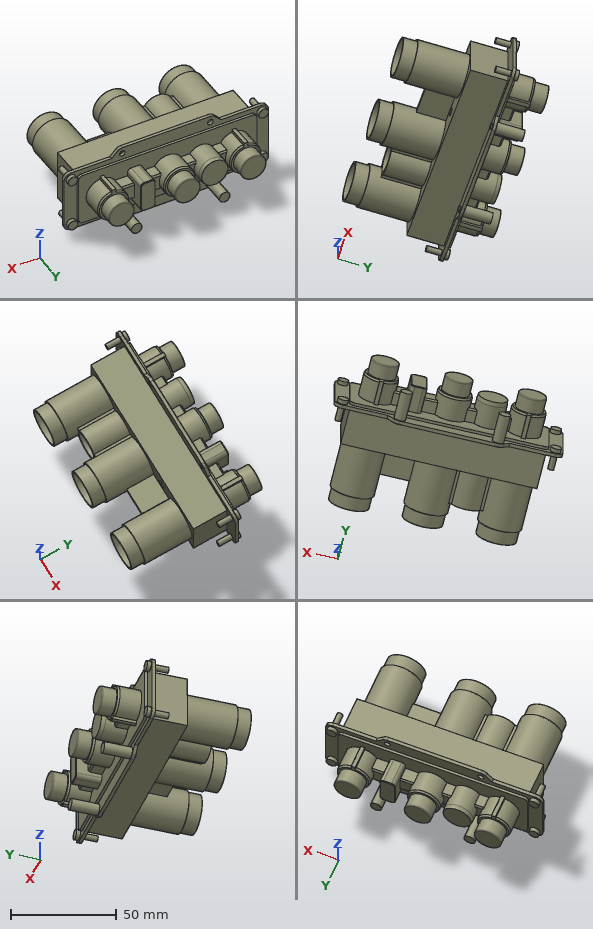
import cadquery as cq
import math


FLANGE_LENGTH = 111.5
FLANGE_HEIGHT = 34.3
FLANGE_THICKNESS = 1.75
FLANGE_CORNER_RADIUS = 3.75
EAR_HEIGHT = 43.0
EAR_RADIUS = 3.5
EAR_SLOPE_DEGREES = 45.0
EAR_HOLE_X = 24.0
EAR_HOLE_Z = EAR_HEIGHT / 2 - EAR_RADIUS
EAR_HOLE_DIAMETER = 3.0
GASKET_LENGTH = 97.2
GASKET_HEIGHT = 28.8
GASKET_THICKNESS = 1.4
GASKET_CORNER_RADIUS = 2.2

BODY_LENGTH = 95.9
BODY_HEIGHT = 27.4
BODY_DEPTH = 18.6
PITCH = 18.0

POWER_X = (-2 * PITCH, 0.0, 2 * PITCH)
KEYED_POWER_X = (-2 * PITCH, 2 * PITCH)
SOCKET_DIAMETER = 21.6
SOCKET_LENGTH = 25.9
COLLAR_DIAMETER = 19.9
COLLAR_LENGTH = 6.9
SOCKET_BORE = 17.9
SLEEVE_DIAMETER = 17.0
SLEEVE_END_Y = 15.1
SLEEVE_CHAMFER_LENGTH = 1.1
SLEEVE_CHAMFER_DEPTH = 0.45
CONTACT_DIAMETER = 13.75
CONTACT_FILLET = 0.4
CONTACT_BORE = 10.2
CONTACT_WALL = 2.0
KEY_WIDTH = 2.1
KEY_SPAN = 20.1

NEUTRAL_X = -PITCH
NEUTRAL_SOCKET_DIAMETER = 17.0
NEUTRAL_SOCKET_LENGTH = 20.0
NEUTRAL_BRIDGE_HEIGHT = 9.8
NEUTRAL_SOCKET_BORE = 13.8
NEUTRAL_SLEEVE_DIAMETER = 15.0
NEUTRAL_TAPER_LENGTH = 2.1
NEUTRAL_TAPER_DEPTH = 0.35
NEUTRAL_BORE = 8.1

PILOT_X = PITCH
PILOT_WIDTH = 8.0
PILOT_HEIGHT = 17.0
PILOT_RADIUS = 2.0
PILOT_END_Y = 16.2
PILOT_CHAMFER = 0.4
PILOT_HOLE_DIAMETER = 4.1
PILOT_HOLE_Z = 4.5
FRONT_WEB_THICKNESS = 2.1
FRONT_WEB_LENGTH = 14.8

REAR_WEB_HEIGHT = 9.0
REAR_WEB_CHAMFER = 0.8

SCREW_X = FLANGE_LENGTH / 2 - FLANGE_CORNER_RADIUS
SCREW_Z = 13.45
SCREW_DIAMETER = 3.0
SCREW_LENGTH = 7.5
SCREW_HEAD_DIAMETER = 5.2
SCREW_HEAD_HEIGHT = 2.0
STANDOFF_DIAMETER = 5.7
STANDOFF_PIN_DIAMETER = EAR_HOLE_DIAMETER
STANDOFF_PIN_BORE = 2.2
STANDOFF_PIN_LENGTH = 0.75

BODY_FRONT_Y = -BODY_DEPTH
SOCKET_FRONT_Y = BODY_FRONT_Y - SOCKET_LENGTH
COLLAR_FRONT_Y = SOCKET_FRONT_Y - COLLAR_LENGTH
NEUTRAL_FRONT_Y = BODY_FRONT_Y - NEUTRAL_SOCKET_LENGTH
GASKET_REAR_Y = FLANGE_THICKNESS + GASKET_THICKNESS
CONTACT_END_Y = 22.4
NEUTRAL_END_Y = 16.7
STANDOFF_END_Y = 15.7
REAR_WEB_END_Y = 10.0


def cylinder(x, z, diameter, y_front, y_rear):
    """Cylinder along Y between two Y positions."""
    return cq.Workplane("XZ", origin=(x, y_rear, z)).circle(diameter / 2).extrude(y_rear - y_front)


def block(x, z, width, height, y_front, y_rear):
    """Rectangular block centred on (x, z) between two Y positions."""
    return cq.Workplane("XZ", origin=(x, y_rear, z)).rect(width, height).extrude(y_rear - y_front)


def make_flange():
    """Rounded plate with two trapezoidal ears, plus the gasket on its rear face."""
    plate = block(0, 0, FLANGE_LENGTH, FLANGE_HEIGHT, 0, FLANGE_THICKNESS)
    plate = plate.edges("|Y").fillet(FLANGE_CORNER_RADIUS)

    tip_x = EAR_HOLE_X + EAR_RADIUS * math.tan(math.radians(EAR_SLOPE_DEGREES / 2))
    tip_z = EAR_HEIGHT / 2
    root_x = tip_x + tip_z / math.tan(math.radians(EAR_SLOPE_DEGREES))
    upper_ear = [(-root_x, 0), (-tip_x, tip_z), (tip_x, tip_z)]
    lower_ear = [(-x, -z) for x, z in upper_ear]
    ears = cq.Workplane("XZ", origin=(0, FLANGE_THICKNESS, 0)).polyline(upper_ear + lower_ear).close()
    ears = ears.extrude(FLANGE_THICKNESS)
    ears = ears.edges("|Y").edges(">Z or <Z").fillet(EAR_RADIUS)

    gasket = block(0, 0, GASKET_LENGTH, GASKET_HEIGHT, FLANGE_THICKNESS, GASKET_REAR_Y)
    gasket = gasket.edges("|Y").fillet(GASKET_CORNER_RADIUS)

    flange = plate.union(ears).union(gasket)
    for x in (-EAR_HOLE_X, EAR_HOLE_X):
        flange = flange.cut(cylinder(x, EAR_HOLE_Z, EAR_HOLE_DIAMETER, 0, FLANGE_THICKNESS))
    return flange


def make_power_contact(x):
    """Front cable socket with its end collar, rear sleeve and protruding contact tube."""
    socket = cylinder(x, 0, SOCKET_DIAMETER, SOCKET_FRONT_Y, 0)
    collar = cylinder(x, 0, COLLAR_DIAMETER, COLLAR_FRONT_Y, 0)
    sleeve = cylinder(x, 0, SLEEVE_DIAMETER, 0, SLEEVE_END_Y)
    sleeve = sleeve.faces(">Y").chamfer(SLEEVE_CHAMFER_LENGTH, SLEEVE_CHAMFER_DEPTH)
    contact = cylinder(x, 0, CONTACT_DIAMETER, 0, CONTACT_END_Y)
    contact = contact.faces(">Y").edges().fillet(CONTACT_FILLET)
    return socket.union(collar).union(sleeve).union(contact)


def make_power_bore(x):
    """Wide cable bore followed by the narrower blind contact bore."""
    cable_bore = cylinder(x, 0, SOCKET_BORE, COLLAR_FRONT_Y, 0)
    contact_bore = cylinder(x, 0, CONTACT_BORE, COLLAR_FRONT_Y, CONTACT_END_Y - CONTACT_WALL)
    return cable_bore.union(contact_bore)


def make_keys(x):
    """Pair of coding ribs above and below a rear sleeve."""
    return block(x, 0, KEY_WIDTH, KEY_SPAN, 0, SLEEVE_END_Y)


def make_neutral_contact():
    """Front socket bridged to both neighbouring sockets, and the tapered rear sleeve."""
    socket = cylinder(NEUTRAL_X, 0, NEUTRAL_SOCKET_DIAMETER, NEUTRAL_FRONT_Y, 0)
    bridge = block(NEUTRAL_X, 0, PITCH, NEUTRAL_BRIDGE_HEIGHT, NEUTRAL_FRONT_Y, 0)
    sleeve = cylinder(NEUTRAL_X, 0, NEUTRAL_SLEEVE_DIAMETER, 0, NEUTRAL_END_Y)
    sleeve = sleeve.faces(">Y").chamfer(NEUTRAL_TAPER_LENGTH, NEUTRAL_TAPER_DEPTH)
    return socket.union(bridge).union(sleeve)


def make_neutral_bore():
    """Wide cable bore followed by the narrower blind contact bore."""
    cable_bore = cylinder(NEUTRAL_X, 0, NEUTRAL_SOCKET_BORE, NEUTRAL_FRONT_Y, 0)
    contact_bore = cylinder(NEUTRAL_X, 0, NEUTRAL_BORE, NEUTRAL_FRONT_Y, NEUTRAL_END_Y - CONTACT_WALL)
    return cable_bore.union(contact_bore)


def make_pilot_block():
    """Rounded rear block for the two pilot contacts, and the thin web at the front."""
    pilot = block(PILOT_X, 0, PILOT_WIDTH, PILOT_HEIGHT, 0, PILOT_END_Y)
    pilot = pilot.edges("|Y").fillet(PILOT_RADIUS)
    pilot = pilot.faces(">Y").edges().chamfer(PILOT_CHAMFER)
    web = block(PILOT_X, 0, PITCH, FRONT_WEB_THICKNESS, BODY_FRONT_Y - FRONT_WEB_LENGTH, 0)
    return pilot.union(web)


def make_pilot_hole(z):
    """Blind pilot contact hole entered from the front of the housing block."""
    return cylinder(PILOT_X, z, PILOT_HOLE_DIAMETER, BODY_FRONT_Y, PILOT_END_Y - CONTACT_WALL)


def make_rear_web():
    """Chamfered web running behind the gasket from the left to the right power sleeve."""
    web = block(0, 0, POWER_X[-1] - POWER_X[0], REAR_WEB_HEIGHT, 0, REAR_WEB_END_Y)
    return web.faces(">Y").edges("|X").chamfer(REAR_WEB_CHAMFER)


def make_screw(x, z):
    """Flange screw with its head on the rear face."""
    shank = cylinder(x, z, SCREW_DIAMETER, -SCREW_LENGTH, FLANGE_THICKNESS)
    head = cylinder(x, z, SCREW_HEAD_DIAMETER, FLANGE_THICKNESS, FLANGE_THICKNESS + SCREW_HEAD_HEIGHT)
    return shank.union(head)


def make_standoff(x):
    """Rear standoff with a hollow pin that passes through the lower ear."""
    post = cylinder(x, -EAR_HOLE_Z, STANDOFF_DIAMETER, FLANGE_THICKNESS, STANDOFF_END_Y)
    pin = cylinder(x, -EAR_HOLE_Z, STANDOFF_PIN_DIAMETER, -STANDOFF_PIN_LENGTH, FLANGE_THICKNESS)
    return post.union(pin)


def make_standoff_bore(x):
    """Blind bore in the standoff pin."""
    return cylinder(x, -EAR_HOLE_Z, STANDOFF_PIN_BORE, -STANDOFF_PIN_LENGTH, FLANGE_THICKNESS)


body = block(0, 0, BODY_LENGTH, BODY_HEIGHT, BODY_FRONT_Y, 0)
result = make_flange().union(body).union(make_rear_web())
for power_x in POWER_X:
    result = result.union(make_power_contact(power_x))
for power_x in KEYED_POWER_X:
    result = result.union(make_keys(power_x))
result = result.union(make_neutral_contact()).union(make_pilot_block())
for screw_x in (-SCREW_X, SCREW_X):
    for screw_z in (-SCREW_Z, SCREW_Z):
        result = result.union(make_screw(screw_x, screw_z))
for standoff_x in (-EAR_HOLE_X, EAR_HOLE_X):
    result = result.union(make_standoff(standoff_x))

for power_x in POWER_X:
    result = result.cut(make_power_bore(power_x))
result = result.cut(make_neutral_bore())
for hole_z in (-PILOT_HOLE_Z, PILOT_HOLE_Z):
    result = result.cut(make_pilot_hole(hole_z))
for standoff_x in (-EAR_HOLE_X, EAR_HOLE_X):
    result = result.cut(make_standoff_bore(standoff_x))